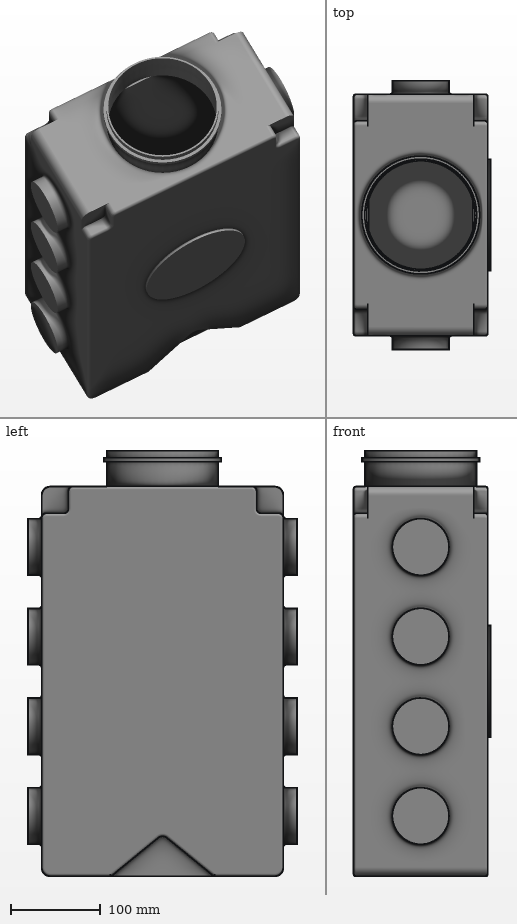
import cadquery as cq

body_width = 150.0
body_depth = 270.0
body_height = 435.0
corner_radius = 10.0
plate_thickness = 15.5
plate_edge_radius = 3.5
core_width = body_width - 2 * plate_thickness

notch_depth = 30.0
notch_height = 30.0
notch_corner_radius = 5.0
vee_width = 115.0
vee_height = 47.0
vee_apex_radius = 8.0

top_wall = 3.0
bottom_wall = top_wall
end_wall = 14.5
cavity_width = 116.5
cavity_depth = body_depth - 2 * end_wall
cavity_height = body_height - top_wall - bottom_wall

total_height = 475.0
pipe_diameter = 125.0
pipe_wall = 2.0
bead_diameter = 131.5
bead_height = 4.8
bead_to_rim = 7.5
bead_bottom = total_height - bead_to_rim - bead_height

stub_diameter = 63.0
stub_length = 15.0
stub_foot_radius = 3.0
stub_count = 4
end_stub_offset = 67.5
stub_pitch = (body_height - 2 * end_stub_offset) / (stub_count - 1)

disc_diameter = pipe_diameter
disc_thickness = 3.0


def box_on_floor(width, depth, height, floor=0):
    """Box centred on the Z axis and standing on Z = floor."""
    return cq.Workplane("XY", origin=(0, 0, floor)).box(width, depth, height, centered=(True, True, False))


def cylinder(diameter, bottom, top):
    """Cylinder on the Z axis between two heights."""
    return cq.Workplane("XY", origin=(0, 0, bottom)).circle(diameter / 2).extrude(top - bottom)


def make_core():
    return box_on_floor(core_width, body_depth, body_height).edges("|X").fillet(corner_radius)


def make_side_plate():
    """Plate for the -X side, with notched top corners and a vee at the bottom."""
    plate = box_on_floor(plate_thickness, body_depth, body_height)
    plate = plate.edges("|X and <Z").fillet(corner_radius)

    notch_floor = body_height - notch_height
    middle_depth = body_depth - 2 * notch_depth
    notches = box_on_floor(plate_thickness, body_depth, notch_height, notch_floor).cut(
        box_on_floor(plate_thickness, middle_depth, notch_height, notch_floor)
    )
    plate = plate.cut(notches)
    upper_part = cq.selectors.BoxSelector(
        (-body_width, -body_depth, body_height / 2),
        (body_width, body_depth, 2 * body_height),
    )
    plate = plate.edges("|X").edges(upper_part).fillet(notch_corner_radius)

    vee = (
        cq.Workplane("YZ", origin=(-plate_thickness / 2, 0, 0))
        .polyline([(-vee_width / 2, 0), (0, vee_height), (vee_width / 2, 0)])
        .close()
        .extrude(plate_thickness)
        .edges("|X and >Z")
        .fillet(vee_apex_radius)
    )
    plate = plate.cut(vee).faces("<X").edges().fillet(plate_edge_radius)
    return plate.translate((-(core_width + plate_thickness) / 2, 0, 0))


def make_pipe():
    """Solid outside of the pipe with its bead."""
    tube = cylinder(pipe_diameter, body_height - top_wall, total_height)
    return tube.union(cylinder(bead_diameter, bead_bottom, bead_bottom + bead_height))


def make_hollow():
    """Cavity of the body and the bore of the pipe."""
    cavity = box_on_floor(cavity_width, cavity_depth, cavity_height, bottom_wall)
    bore = cylinder(pipe_diameter - 2 * pipe_wall, body_height - top_wall, total_height)
    return cavity.union(bore)


def make_stub():
    """Stub pointing along +Y from the origin, with a concave round at its foot."""
    radius = stub_diameter / 2
    return (
        cq.Workplane("XY")
        .lineTo(radius + stub_foot_radius, 0)
        .radiusArc((radius, stub_foot_radius), stub_foot_radius)
        .lineTo(radius, stub_length)
        .lineTo(0, stub_length)
        .close()
        .revolve(360, (0, 0, 0), (0, 1, 0))
    )


def make_disc():
    return (
        cq.Workplane("YZ", origin=(body_width / 2, 0, body_height / 2))
        .circle(disc_diameter / 2)
        .extrude(disc_thickness)
    )


side_plate = make_side_plate()
result = make_core().union(side_plate).union(side_plate.mirror("YZ"))
result = result.union(make_pipe()).cut(make_hollow())

for index in range(stub_count):
    stub_height = end_stub_offset + index * stub_pitch
    back_stub = make_stub().translate((0, body_depth / 2, stub_height))
    result = result.union(back_stub).union(back_stub.mirror("XZ"))

result = result.union(make_disc())